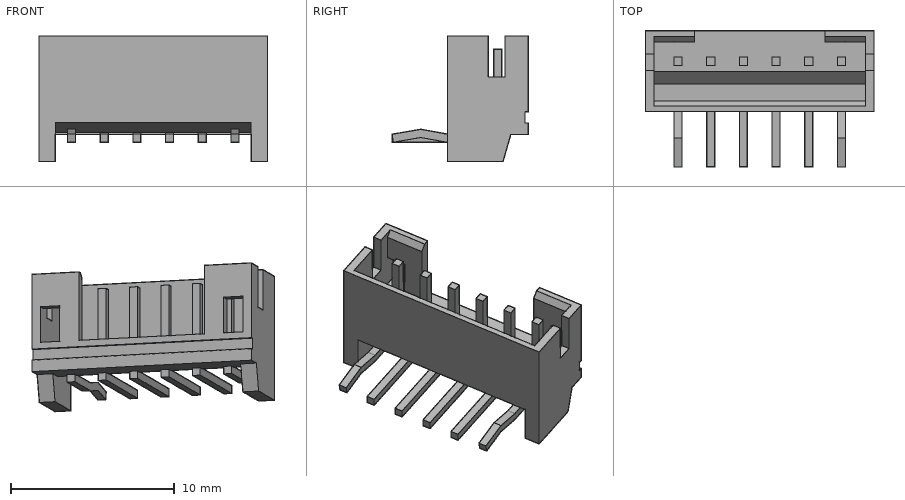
import cadquery as cq
import math


width = 14.0
depth = 4.95
height = 7.7
side_wall = 0.53
front_wall = 0.35

leg_width = 1.01
leg_back_top_inset = 1.08
leg_back_bottom_inset = 1.55
base_bottom = 1.65
front_lip_bottom = 2.4
underside_slope_y = 0.67
underside_step_y = 2.84
underside_step_z = 1.79

floor_z = 3.45
floor_front_y = 2.46
channel_depth = 0.78
channel_bevel = 0.31

tab_width = 3.0
tab_thickness = 0.7
tab_chamfer = 0.35
tab_post_width = 1.23
window_top = 5.65

notch_width = 1.01
notch_depth = 2.5
notch_back_inset = 1.44
groove_depth = 0.21
groove_bottom = 2.38
groove_top = 3.05

pin_count = 6
pin_pitch = 2.0
pin_size = 0.5
pin_top = 6.89
pin_upright_y = 3.08
pin_row_z = 1.44
pin_reach = 3.39
kink_y = -1.62
kink_rise = 0.3

cavity_width = width - 2 * side_wall
channel_z = floor_z - channel_depth
tab_front_y = depth - tab_thickness
kink_slope = math.atan2(kink_rise, pin_reach + kink_y)
kinked_end_y = -pin_reach + pin_size / 2 * math.sin(kink_slope)
window_width = tab_width - side_wall - tab_post_width


def along_x(points, length):
    """Prism with a Y-Z outline, extruded along X and centred on X = 0."""
    return cq.Workplane("YZ").polyline(points).close().extrude(length / 2, both=True)


def block(x_range, y_range, z_range):
    """Box between the given limits."""
    low, high = zip(x_range, y_range, z_range)
    size = [b - a for a, b in zip(low, high)]
    return cq.Workplane("XY").box(*size, centered=False).translate(low)


def make_shell():
    """Solid housing with its leg outline, the back groove and the hollow between the legs."""
    side_outline = [
        (0, 0),
        (depth - leg_back_bottom_inset, 0),
        (depth - leg_back_top_inset, base_bottom),
        (depth, base_bottom),
        (depth, groove_bottom),
        (depth - groove_depth, groove_bottom),
        (depth - groove_depth, groove_top),
        (depth, groove_top),
        (depth, height),
        (0, height),
    ]
    underside = [
        (0, 0),
        (0, front_lip_bottom),
        (underside_slope_y, front_lip_bottom),
        (underside_step_y, underside_step_z),
        (underside_step_y, base_bottom),
        (depth, base_bottom),
        (depth, 0),
    ]
    return along_x(side_outline, width).cut(along_x(underside, width - 2 * leg_width))


def make_cavity():
    """Space inside the walls: bevelled front channel, ramp, flat floor and chamfered tab tops."""
    outline = [
        (front_wall, height),
        (front_wall, channel_z + channel_bevel),
        (front_wall + channel_bevel, channel_z),
        (floor_front_y - channel_depth, channel_z),
        (floor_front_y, floor_z),
        (tab_front_y, floor_z),
        (tab_front_y, height - tab_chamfer),
        (tab_front_y + tab_chamfer, height),
    ]
    return along_x(outline, cavity_width)


def make_back_opening():
    """Gap between the two tabs, open to the back."""
    half_gap = width / 2 - tab_width
    return block((-half_gap, half_gap), (tab_front_y, depth), (floor_z, height))


def make_windows():
    """Window through each tab, beside its end wall."""
    inner_x = cavity_width / 2
    window = block((inner_x - window_width, inner_x), (tab_front_y, depth), (floor_z, window_top))
    return window.union(window.mirror("YZ"))


def make_end_notches():
    """Slot in the top of both end walls."""
    back_y = depth - notch_back_inset
    return block((-width / 2, width / 2), (back_y - notch_width, back_y), (height - notch_depth, height))


def make_pin(x, kinked):
    """Square L-shaped pin; a kinked one rises to a peak and drops again outside the housing."""
    half = pin_size / 2
    upright = block(
        (x - half, x + half),
        (pin_upright_y - half, pin_upright_y + half),
        (pin_row_z - half, pin_top),
    )
    path = cq.Workplane("YZ", origin=(x, 0, 0)).moveTo(pin_upright_y, pin_row_z).lineTo(0, pin_row_z)
    if kinked:
        path = path.lineTo(kink_y, pin_row_z + kink_rise).lineTo(kinked_end_y, pin_row_z)
    else:
        path = path.lineTo(-pin_reach, pin_row_z)
    section = cq.Workplane("XZ", origin=(x, pin_upright_y, pin_row_z)).rect(pin_size, pin_size)
    return upright.union(section.sweep(path, transition="right"))


result = (
    make_shell()
    .cut(make_cavity())
    .cut(make_back_opening())
    .cut(make_windows())
    .cut(make_end_notches())
)
for i in range(pin_count):
    pin_x = (i - (pin_count - 1) / 2) * pin_pitch
    result = result.union(make_pin(pin_x, kinked=i in (0, pin_count - 1)))